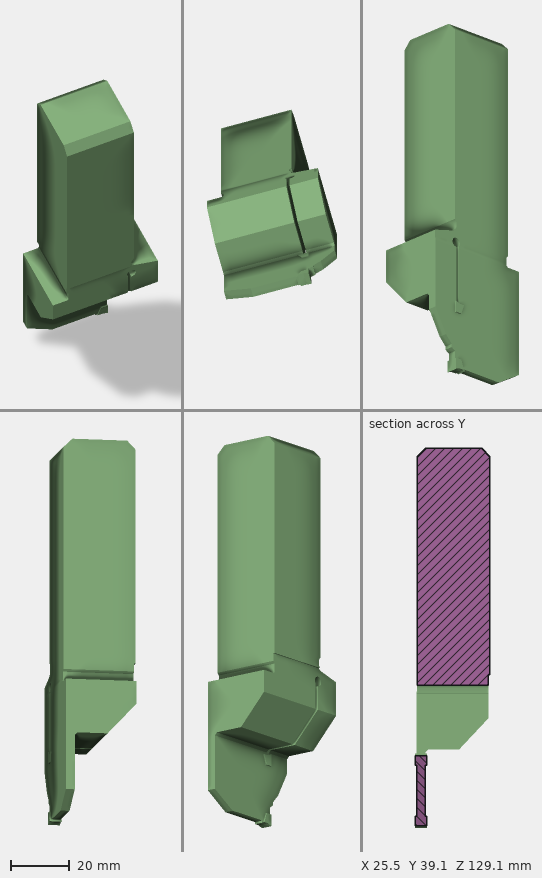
import cadquery as cq

TOTAL_HEIGHT = 129.1
SHANK_WIDTH = 25.0
SHANK_DEPTH = 24.9
FACE_STEP = 0.1
FACE_STEP_BOTTOM = 45.3
FACE_STEP_TOP = 46.5
TOP_CHAMFER_LEFT = 3.1
TOP_CHAMFER_RIGHT = 2.8
TOP_CHAMFER_HEIGHT = 3.0

HEAD_WIDTH = 24.5
HEAD_TOP = 52.0
HEAD_TAPER_TOP = 37.3
HEAD_TAPER_END = 14.5
HEAD_BOTTOM = 26.6
BLADE_THICKNESS = 3.1
BLADE_CORNER = 0.9

HEAD_FRONT = -5.0
HEAD_BACK = 34.1
SHOULDER_TOP = 45.0
RELIEF_TOP = 49.3
RELIEF_DEPTH = 0.8
RELIEF_TOP_CHAMFER = 0.8
RELIEF_BOTTOM_CHAMFER = 0.5
BLADE_BOTTOM = 1.2
FRONT_TAPER_TOP = 6.8
FRONT_TAPER_END = 4.5
JAW_TAPER_TOP = 20.5
JAW_BEND_Y = 29.2
JAW_BEND_Z = 11.7
JAW_TIP_Z = 8.9
JAW_TOP = 49.0

GROOVE_START_Y = 26.2
GROOVE_START_Z = 51.1
GROOVE_BOTTOM_Y = 24.0
GROOVE_BOTTOM_Z = 53.8
GROOVE_TOP = 55.8

SLOT_FRONT = 23.0
SLOT_BACK = 24.1
SLOT_HOLE_Y = 24.3
SLOT_HOLE_Z = 47.3
SLOT_HOLE_RADIUS = 1.7

INSERT_LENGTH = 25.3
INSERT_FRONT = 20.5
INSERT_BACK = 24.9
INSERT_HUMP = 26.5
HUMP_BASE = 6.7
HUMP_SHOULDER = 7.7
END_RELIEF = 0.4
DIP_DEPTH = 0.6
DIP_BACK = 23.1
CUTTER_OVERHANG = 0.5
CUTTER_LENGTH = 4.1
CUTTER_TIP_Y = 21.2
CUTTER_ROOT_Y = 22.5


def side_prism(points, x_start, x_end):
    """Extrude a closed (Y, Z) outline along X."""
    plane = cq.Workplane("YZ", origin=(x_start, 0, 0))
    return plane.polyline(points).close().extrude(x_end - x_start)


def insert_outline():
    top = INSERT_LENGTH
    return [
        (INSERT_FRONT, END_RELIEF),
        (CUTTER_TIP_Y, DIP_DEPTH),
        (DIP_BACK, DIP_DEPTH),
        (INSERT_BACK, 0),
        (INSERT_BACK, HUMP_BASE),
        (INSERT_HUMP, HUMP_SHOULDER),
        (INSERT_HUMP, top - HUMP_SHOULDER),
        (INSERT_BACK, top - HUMP_BASE),
        (INSERT_BACK, top),
        (DIP_BACK, top - DIP_DEPTH),
        (CUTTER_TIP_Y, top - DIP_DEPTH),
        (INSERT_FRONT, top - END_RELIEF),
    ]


def holder_side_profile():
    """Outline in YZ, extruded over the whole shank width."""
    return (
        cq.Workplane("YZ")
        .moveTo(0, TOTAL_HEIGHT)
        .lineTo(0, RELIEF_TOP)
        .lineTo(RELIEF_DEPTH, RELIEF_TOP - RELIEF_TOP_CHAMFER)
        .lineTo(RELIEF_DEPTH, SHOULDER_TOP + RELIEF_BOTTOM_CHAMFER)
        .lineTo(RELIEF_DEPTH - RELIEF_BOTTOM_CHAMFER, SHOULDER_TOP)
        .lineTo(HEAD_FRONT, SHOULDER_TOP)
        .lineTo(HEAD_FRONT, FRONT_TAPER_TOP)
        .lineTo(FRONT_TAPER_END, BLADE_BOTTOM)
        .lineTo(INSERT_HUMP, BLADE_BOTTOM)
        .lineTo(INSERT_HUMP, JAW_TIP_Z)
        .lineTo(JAW_BEND_Y, JAW_BEND_Z)
        .lineTo(HEAD_BACK, JAW_TAPER_TOP)
        .lineTo(HEAD_BACK, JAW_TOP)
        .lineTo(GROOVE_START_Y, GROOVE_START_Z)
        .threePointArc((GROOVE_BOTTOM_Y, GROOVE_BOTTOM_Z), (SHANK_DEPTH, GROOVE_TOP))
        .lineTo(SHANK_DEPTH, TOTAL_HEIGHT)
        .close()
        .extrude(SHANK_WIDTH)
    )


def holder_front_profile():
    """Outline in XZ, extruded over the whole head length."""
    chamfer_bottom = TOTAL_HEIGHT - TOP_CHAMFER_HEIGHT
    points = [
        (0, 0),
        (BLADE_THICKNESS, 0),
        (BLADE_THICKNESS, HEAD_BOTTOM - BLADE_CORNER),
        (BLADE_THICKNESS + BLADE_CORNER, HEAD_BOTTOM),
        (HEAD_TAPER_END, HEAD_BOTTOM),
        (HEAD_WIDTH, HEAD_TAPER_TOP),
        (HEAD_WIDTH, HEAD_TOP),
        (SHANK_WIDTH, HEAD_TOP),
        (SHANK_WIDTH, chamfer_bottom),
        (SHANK_WIDTH - TOP_CHAMFER_RIGHT, TOTAL_HEIGHT),
        (FACE_STEP + TOP_CHAMFER_LEFT, TOTAL_HEIGHT),
        (FACE_STEP, chamfer_bottom),
        (FACE_STEP, FACE_STEP_TOP),
        (0, FACE_STEP_BOTTOM),
    ]
    plane = cq.Workplane("XZ", origin=(0, HEAD_BACK, 0))
    return plane.polyline(points).close().extrude(HEAD_BACK - HEAD_FRONT)


def clamping_slot():
    slot = side_prism(
        [
            (SLOT_FRONT, INSERT_LENGTH / 2),
            (SLOT_BACK, INSERT_LENGTH / 2),
            (SLOT_BACK, SLOT_HOLE_Z),
            (SLOT_FRONT, SLOT_HOLE_Z),
        ],
        0,
        SHANK_WIDTH,
    )
    hole = (
        cq.Workplane("YZ")
        .center(SLOT_HOLE_Y, SLOT_HOLE_Z)
        .circle(SLOT_HOLE_RADIUS)
        .extrude(SHANK_WIDTH)
    )
    return slot.union(hole)


def make_holder():
    holder = holder_side_profile().intersect(holder_front_profile())
    insert_pocket = side_prism(insert_outline(), 0, SHANK_WIDTH)
    below_insert = side_prism(
        [
            (INSERT_FRONT, 0),
            (INSERT_HUMP, 0),
            (INSERT_HUMP, HUMP_SHOULDER),
            (INSERT_FRONT, HUMP_SHOULDER),
        ],
        0,
        SHANK_WIDTH,
    )
    return holder.cut(insert_pocket).cut(below_insert).cut(clamping_slot())


def make_insert():
    insert = side_prism(insert_outline(), 0, BLADE_THICKNESS)
    lower_cutter = side_prism(
        [
            (INSERT_BACK, 0),
            (DIP_BACK, DIP_DEPTH),
            (CUTTER_TIP_Y, DIP_DEPTH),
            (CUTTER_ROOT_Y, CUTTER_LENGTH),
            (INSERT_BACK, CUTTER_LENGTH),
        ],
        -CUTTER_OVERHANG,
        BLADE_THICKNESS + CUTTER_OVERHANG,
    )
    upper_cutter = lower_cutter.mirror("XY", (0, 0, INSERT_LENGTH / 2))
    return insert.union(lower_cutter).union(upper_cutter)


holder = make_holder()
cutting_insert = make_insert()
result = cq.Compound.makeCompound([holder.val(), cutting_insert.val()])